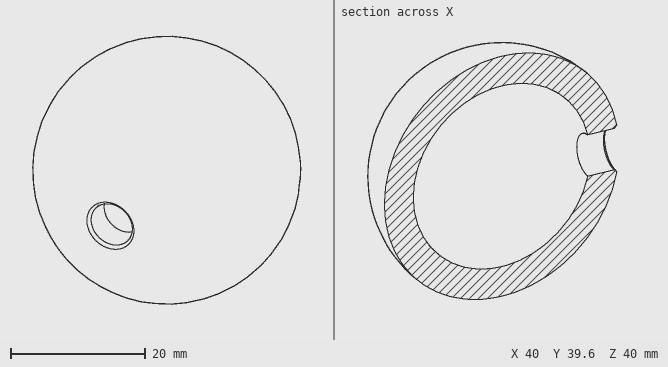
import cadquery as cq
import math

ball_diameter = 40.0
wall_thickness = 5.0
hole_diameter = 6.8
mouth_diameter = 7.75

ball_radius = ball_diameter / 2
cavity_radius = ball_radius - wall_thickness
hole_radius = hole_diameter / 2
mouth_radius = mouth_diameter / 2
chamfer_depth = mouth_radius - hole_radius


def hole_side_y(sphere_radius, radius):
    """Y of the -Y side circle of the given radius lying on a centred sphere."""
    return -math.sqrt(sphere_radius**2 - radius**2)


mouth_y = hole_side_y(ball_radius, mouth_radius)
hole_inner_y = hole_side_y(cavity_radius, hole_radius)

wall_section = (
    cq.Workplane("XY")
    .moveTo(hole_radius, hole_inner_y)
    .lineTo(hole_radius, mouth_y + chamfer_depth)
    .lineTo(mouth_radius, mouth_y)
    .threePointArc((ball_radius, 0), (0, ball_radius))
    .lineTo(0, cavity_radius)
    .threePointArc((cavity_radius, 0), (hole_radius, hole_inner_y))
    .close()
)

result = wall_section.revolve(360, (0, 0, 0), (0, 1, 0))